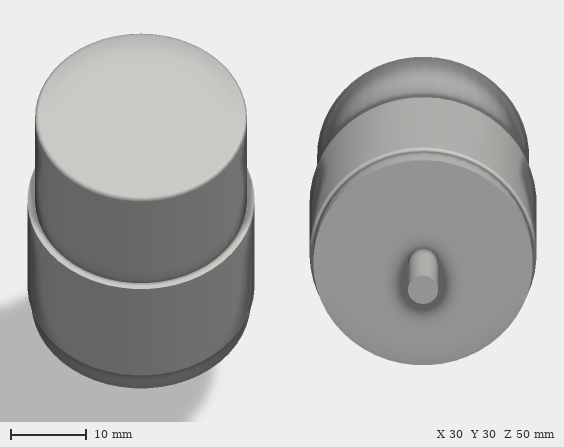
import cadquery as cq

shaft_diameter = 4.0
shaft_length = 10.0
base_diameter = 29.0
base_height = 3.0
sleeve_diameter = 30.0
sleeve_height = 19.0
cap_diameter = 28.0
cap_height = 18.0
edge_radius = 0.5

base_bottom = shaft_length
sleeve_bottom = base_bottom + base_height
cap_bottom = sleeve_bottom + sleeve_height


def cylinder(diameter, bottom, height):
    """Upright cylinder centred on the Z axis."""
    return cq.Workplane("XY").workplane(offset=bottom).circle(diameter / 2).extrude(height)


shaft = cylinder(shaft_diameter, 0, shaft_length)
base = cylinder(base_diameter, base_bottom, base_height)

sleeve = cylinder(sleeve_diameter, sleeve_bottom, sleeve_height).faces("<Z").edges().fillet(edge_radius)

cap = cylinder(cap_diameter, cap_bottom, cap_height).faces(">Z").edges().fillet(edge_radius)

result = shaft.union(base).union(sleeve).union(cap)